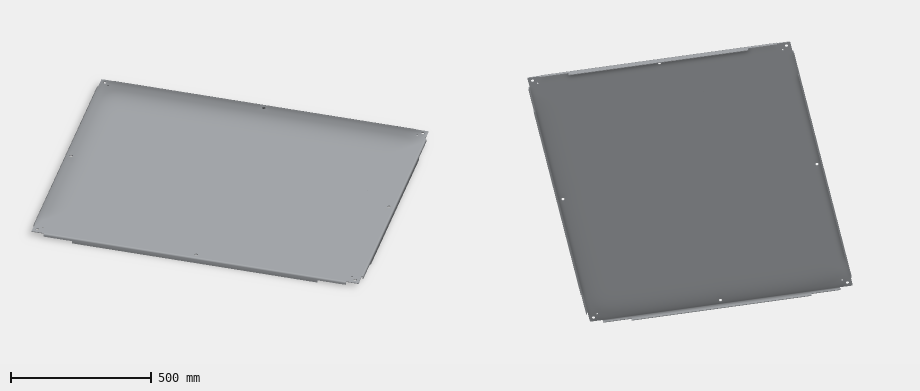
import cadquery as cq

length = 1218.0
width = 963.0
height = 22.0

thickness = 3.0
inner_radius = 3.0
outer_radius = inner_radius + thickness

tab_setback = 5.1

flange_end_inset = 51.0
deep_end_inset = 156.0
shallow_depth = 12.0

mount_diameter = 12.0
mount_x = 587.0
mount_y = 460.0

pilot_diameter = 7.2
pilot_x = 571.0
pilot_y = 445.0

clearance = 12.0


def make_plate():
    """Flat sheet with its top face at Z = 0, cut back to the bend lines beside each flange."""
    tab_size_x = length - 2 * tab_setback
    tab_size_y = width - 2 * tab_setback
    plate = cq.Workplane("XY").box(tab_size_x, tab_size_y, thickness, centered=(True, True, False))
    bend_notch = outer_radius - tab_setback
    for side in (-1, 1):
        x_notch = cq.Workplane("XY").box(2 * bend_notch, width - 2 * flange_end_inset, 2 * clearance)
        y_notch = cq.Workplane("XY").box(length - 2 * flange_end_inset, 2 * bend_notch, 2 * clearance)
        plate = plate.cut(x_notch.translate((side * tab_size_x / 2, 0, 0)))
        plate = plate.cut(y_notch.translate((0, side * tab_size_y / 2, 0)))
    return plate.translate((0, 0, -thickness))


def make_flange(span, reach):
    """Bent flange for a side of length span along Y, outer face at X = reach, with stepped ends."""
    flange_length = span - 2 * flange_end_inset
    bend_x = reach - outer_radius
    profile = (
        cq.Workplane("XZ")
        .moveTo(bend_x, 0)
        .radiusArc((reach, -outer_radius), outer_radius)
        .lineTo(reach, -height)
        .lineTo(reach - thickness, -height)
        .lineTo(reach - thickness, -outer_radius)
        .radiusArc((bend_x, -thickness), -inner_radius)
        .close()
    )
    flange = profile.extrude(flange_length / 2, both=True)

    step_length = deep_end_inset - flange_end_inset
    step_height = height - shallow_depth
    for end in (-1, 1):
        corner = cq.Workplane("XY").box(2 * clearance, 2 * step_length, 2 * step_height)
        flange = flange.cut(corner.translate((reach, end * flange_length / 2, -height)))
    return flange


def drill(body, points, diameter):
    """Round holes through the flat sheet."""
    cutters = cq.Workplane("XY").pushPoints(points).circle(diameter / 2).extrude(clearance, both=True)
    return body.cut(cutters)


def corners(x, y):
    """The four points mirrored about both centre lines."""
    return [(sx * x, sy * y) for sx in (-1, 1) for sy in (-1, 1)]


panel = make_plate()
end_flange = make_flange(width, length / 2)
side_flange = make_flange(length, width / 2)
for turn in (0, 180):
    panel = panel.union(end_flange.rotate((0, 0, 0), (0, 0, 1), turn))
    panel = panel.union(side_flange.rotate((0, 0, 0), (0, 0, 1), turn + 90))

side_middles = [(-mount_x, 0), (mount_x, 0), (0, -mount_y), (0, mount_y)]
panel = drill(panel, corners(mount_x, mount_y) + side_middles, mount_diameter)
panel = drill(panel, corners(pilot_x, pilot_y), pilot_diameter)

result = panel